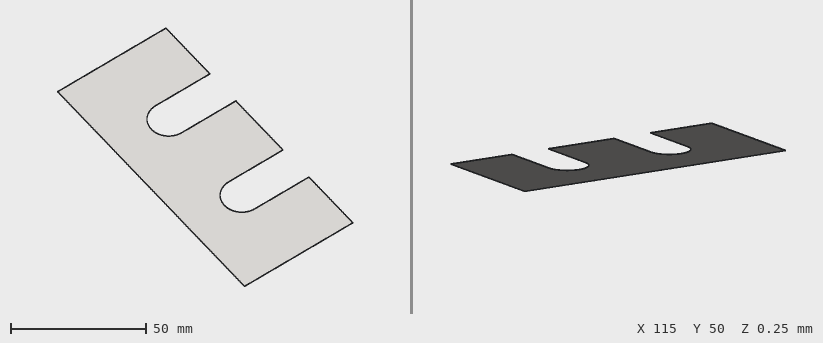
import cadquery as cq

length = 115.0
width = 50.0
thickness = 0.25

slot_width = 16.0
slot_spacing = 45.0
slot_depth = 33.0


def open_slot(center_x):
    """Cutter for one slot with a semicircular closed end."""
    radius = slot_width / 2
    open_y = width / 2
    arc_center_y = open_y - slot_depth + radius
    return (
        cq.Workplane("XY")
        .moveTo(center_x - radius, open_y)
        .lineTo(center_x - radius, arc_center_y)
        .threePointArc((center_x, open_y - slot_depth), (center_x + radius, arc_center_y))
        .lineTo(center_x + radius, open_y)
        .close()
        .extrude(thickness)
    )


result = cq.Workplane("XY").box(length, width, thickness, centered=(True, True, False))
for side in (-1, 1):
    result = result.cut(open_slot(side * slot_spacing / 2))